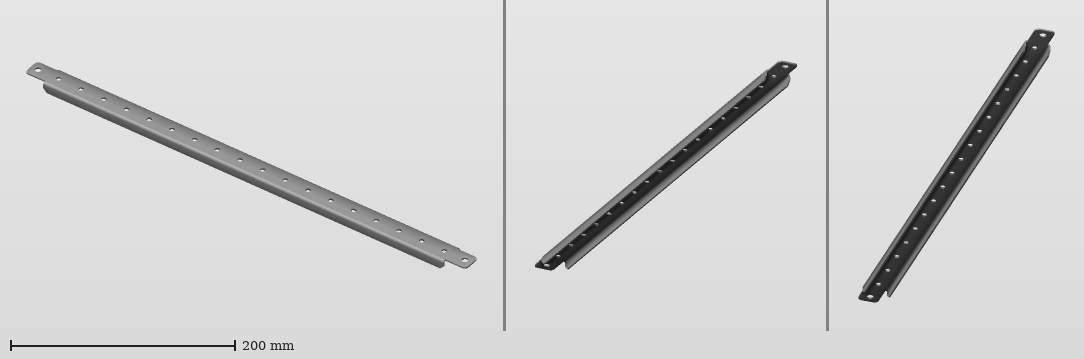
import cadquery as cq

length = 486.0
width = 25.0
height = 10.0
thickness = 1.5
bend_radius = 3.0

tab_length = 22.5
tab_width = width - 2 * bend_radius
tab_corner_radius = 4.0
flange_length = length - 2 * tab_length
flange_chamfer = 4.0

hole_count = 18
hole_row_span = 425.2
hole_diameter = 5.0
end_hole_diameter = 6.5
end_hole_inset = 8.0


def channel_solid(outer_width, outer_height, top_radius):
    """Solid bar with its top face at Z = 0 and its two upper edges rounded."""
    return (
        cq.Workplane("XY")
        .box(flange_length, outer_width, outer_height, centered=(True, True, False))
        .translate((0, 0, -outer_height))
        .edges("|X and >Z")
        .fillet(top_radius)
    )


def folded_channel():
    """Downward-open channel with chamfered lower flange corners."""
    outer = channel_solid(width, height, bend_radius).edges("|Y and <Z").chamfer(flange_chamfer)
    inner = channel_solid(width - 2 * thickness, height, bend_radius - thickness)
    return outer.cut(inner.translate((0, 0, -thickness)))


def flat_strip():
    """Full-length web whose ends form the rounded mounting tabs."""
    return (
        cq.Workplane("XY")
        .rect(length, tab_width)
        .extrude(-thickness)
        .edges("|Z")
        .fillet(tab_corner_radius)
    )


def drill(body, x_positions, diameter):
    """Drill holes through the web along its centreline."""
    points = [(x, 0) for x in x_positions]
    drills = cq.Workplane("XY").pushPoints(points).circle(diameter / 2).extrude(-height)
    return body.cut(drills)


hole_pitch = hole_row_span / (hole_count - 1)
row_positions = [-hole_row_span / 2 + i * hole_pitch for i in range(hole_count)]
end_hole_x = length / 2 - end_hole_inset

result = folded_channel().union(flat_strip())
result = drill(result, row_positions, hole_diameter)
result = drill(result, [-end_hole_x, end_hole_x], end_hole_diameter)